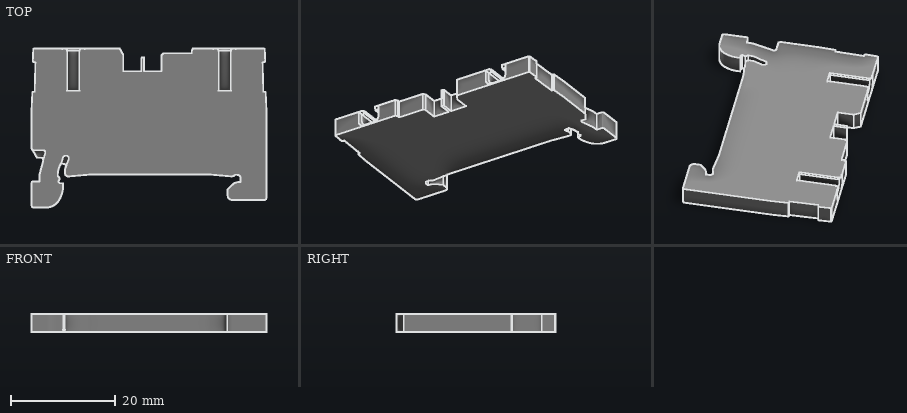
import cadquery as cq
import math

half_length = 22.5
top_y = 30.5
thickness = 3.5
web_thickness = 0.5

belly_y = 19.05
shoulder_x = 22.35
shoulder_y = 22.2
shoulder_bevel = 0.15
waist_low_x = 21.9
waist_high_x = 21.8
head_y = 27.8
head_x = 22.28
head_round = 0.35
head_top_x = 22.2
head_top_bevel = 0.2

notch_left = -4.9
notch_right = 2.4
notch_floor_y = 26.15
right_step_y = 29.55
pin_left = -1.5
pin_right = -0.95
pin_top_y = 28.75
pin_bevel = 0.15

rail_y = 6.3
rail_pad_y = 5.95
fixed_foot_y = 1.45
fixed_foot_tip_x = 15.05
foot_corner = 0.45
spring_foot_top = 5.05
spring_foot_corner = 0.35
spring_foot_tip_x = -16.42
spring_tip_y = 4.7
neck_x = -21.0
slot_mouth_x = -16.1
slot_mouth_round = 0.68

lug_top_y = 11.35
lug_y = 11.0
lug_bottom_y = 9.55
lug_round_end_y = 9.1
web_overlap_x = -19.35
web_overlap_y = 11.7

groove_x = 14.5
groove_end_y = 22.35
groove_opening_half = 1.15
groove_lip = 0.5
groove_half = 1.85
groove_depth = 2.95
groove_round = 0.9
mouth_length = 0.5
mouth_growth = 0.45
mouth_opening_growth = 0.22


def lines_through(outline, points):
    for point in points:
        outline = outline.lineTo(*point)
    return outline


def quarter_round(outline, start, end, centre):
    """Line to start, then a quarter circle about centre to end."""
    cosine = math.cos(math.radians(45))
    middle = tuple(c + (a + b - 2 * c) * cosine for a, b, c in zip(start, end, centre))
    return outline.lineTo(*start).threePointArc(middle, end)


def left_end(outline):
    """Left end of the plate, going up."""
    outline = lines_through(outline, [
        (-half_length, belly_y),
        (-shoulder_x, shoulder_y - shoulder_bevel),
        (-shoulder_x + shoulder_bevel, shoulder_y),
        (-waist_low_x, shoulder_y),
        (-waist_high_x, head_y),
    ])
    head_low = (-head_x + head_round, head_y)
    head_side = (-head_x, head_y + head_round)
    outline = quarter_round(outline, head_low, head_side, (head_low[0], head_side[1]))
    return lines_through(outline, [
        (-head_top_x, top_y - head_top_bevel),
        (-head_top_x + head_top_bevel, top_y),
    ])


def right_end(outline):
    """Right end of the plate, going down: the left end mirrored."""
    outline = lines_through(outline, [
        (head_top_x - head_top_bevel, top_y),
        (head_top_x, top_y - head_top_bevel),
    ])
    head_low = (head_x - head_round, head_y)
    head_side = (head_x, head_y + head_round)
    outline = quarter_round(outline, head_side, head_low, (head_low[0], head_side[1]))
    return lines_through(outline, [
        (waist_high_x, head_y),
        (waist_low_x, shoulder_y),
        (shoulder_x - shoulder_bevel, shoulder_y),
        (shoulder_x, shoulder_y - shoulder_bevel),
        (half_length, belly_y),
    ])


def top_edge(outline):
    """Top edge from left to right, with the notch and the pin."""
    return lines_through(outline, [
        (-5.62, top_y),
        (notch_left, 29.25),
        (notch_left, notch_floor_y),
        (pin_left, notch_floor_y),
        (pin_left, pin_top_y - pin_bevel),
        (pin_left + pin_bevel, pin_top_y),
        (pin_right, pin_top_y),
        (pin_right, notch_floor_y),
        (notch_right, notch_floor_y),
        (notch_right, 29.15),
        (2.75, right_step_y),
        (8.15, right_step_y),
        (8.15, 30.05),
        (8.4, top_y),
    ])


def fixed_foot(outline):
    """Foot on the right and the undercut above it."""
    corner_side = (half_length, fixed_foot_y + foot_corner)
    corner_bottom = (half_length - foot_corner, fixed_foot_y)
    outline = quarter_round(outline, corner_side, corner_bottom, (corner_bottom[0], corner_side[1]))
    return (
        outline.lineTo(15.95, fixed_foot_y)
        .threePointArc((15.3, 1.7), (fixed_foot_tip_x, 2.35))
        .lineTo(fixed_foot_tip_x, 3.45)
        .lineTo(16.0, 4.45)
        .threePointArc((16.65, 4.8), (17.5, 4.9))
        .lineTo(17.5, 5.85)
        .threePointArc((17.1, 6.2), (16.5, 6.25))
        .lineTo(16.2, 6.05)
        .lineTo(15.9, rail_pad_y)
    )


def rail_seat_and_slot(outline):
    """Rail seat from right to left, then the slot that frees the spring foot."""
    outline = outline.lineTo(11.75, rail_y).lineTo(-11.35, rail_y)
    round_bottom = (slot_mouth_x + slot_mouth_round, rail_pad_y)
    round_side = (slot_mouth_x, rail_pad_y + slot_mouth_round)
    outline = quarter_round(outline, round_bottom, round_side, (round_bottom[0], round_side[1]))
    return (
        outline.lineTo(slot_mouth_x, 7.4)
        .lineTo(-15.35, 9.3)
        .threePointArc((-15.75, 9.95), (-16.42, 9.68))
        .lineTo(-16.85, 8.45)
        .threePointArc((-17.3, 7.42), (-17.45, 6.08))
        .lineTo(-17.05, 5.6)
        .lineTo(-17.35, 4.95)
        .lineTo(-17.1, spring_tip_y)
    )


def spring_foot(outline):
    """Foot on the left and its sloping neck."""
    outline = (
        outline.lineTo(spring_foot_tip_x, spring_tip_y)
        .lineTo(spring_foot_tip_x, 3.8)
        .threePointArc((-16.7, 2.5), (-17.2, 1.45))
        .threePointArc((-18.1, 0.5), (-19.4, 0))
    )
    low_bottom = (-half_length + foot_corner, 0)
    low_side = (-half_length, foot_corner)
    outline = quarter_round(outline, low_bottom, low_side, (low_bottom[0], low_side[1]))
    high_side = (-half_length, spring_foot_top - spring_foot_corner)
    high_top = (-half_length + spring_foot_corner, spring_foot_top)
    outline = quarter_round(outline, high_side, high_top, (high_top[0], high_side[1]))
    return (
        outline.lineTo(neck_x, spring_foot_top)
        .lineTo(neck_x, 5.9)
        .lineTo(-20.95, 6.4)
        .lineTo(-19.95, 10.25)
        .threePointArc((-19.95, 10.8), (-20.2, lug_y))
        .lineTo(-22.25, lug_y)
    )


def plate():
    """Full-height body, drawn clockwise from the lower end of its left edge."""
    outline = cq.Workplane("XY").moveTo(-half_length, lug_top_y)
    for stretch in (left_end, top_edge, right_end, fixed_foot, rail_seat_and_slot, spring_foot):
        outline = stretch(outline)
    return outline.close().extrude(thickness)


def lug_web():
    """Thin web at the lower face, beside the neck of the spring foot."""
    return (
        cq.Workplane("XY")
        .moveTo(-half_length, web_overlap_y)
        .lineTo(-half_length, lug_top_y)
        .lineTo(-21.45, lug_bottom_y)
        .lineTo(-20.6, lug_bottom_y)
        .threePointArc((-20.35, 9.35), (-20.3, lug_round_end_y))
        .lineTo(web_overlap_x, lug_round_end_y)
        .lineTo(web_overlap_x, web_overlap_y)
        .close()
        .extrude(web_thickness)
    )


def slot_web():
    """Thin web at the lower face, closing the blind end of the slot."""
    corners = [(-17.0, 8.4), (-16.2, 8.32), (-15.52, 8.0), (-14.85, 10.35), (-17.0, 10.35)]
    return cq.Workplane("XY").polyline(corners).close().extrude(web_thickness)


def groove_section(x, y, growth, opening_growth):
    """Groove cross-section at one Y: an opening between lips, then a wider round-cornered channel."""
    opening = groove_opening_half + opening_growth
    half = groove_half + growth
    radius = groove_round + growth
    lip_z = thickness - groove_lip + growth
    floor_z = thickness - groove_depth - growth
    outline = lines_through(cq.Workplane("XZ", origin=(x, y, 0)).moveTo(opening, thickness), [
        (-opening, thickness),
        (-opening, lip_z),
        (-half, lip_z),
    ])
    corner_z = floor_z + radius
    floor_half = half - radius
    outline = quarter_round(outline, (-half, corner_z), (-floor_half, floor_z), (-floor_half, corner_z))
    outline = quarter_round(outline, (floor_half, floor_z), (half, corner_z), (floor_half, corner_z))
    return outline.lineTo(half, lip_z).lineTo(opening, lip_z).close()


def groove(x):
    """Channel open at the top edge, with a flared mouth."""
    channel = groove_section(x, top_y, 0, 0).extrude(top_y - groove_end_y)
    mouth_wide = groove_section(x, top_y, mouth_growth, mouth_opening_growth).wires().val()
    mouth_narrow = groove_section(x, top_y - mouth_length, 0, 0).wires().val()
    mouth = cq.Solid.makeLoft([mouth_wide, mouth_narrow], True)
    return channel.union(cq.Workplane(mouth))


result = plate().union(lug_web()).union(slot_web())
for side in (-1, 1):
    result = result.cut(groove(side * groove_x))